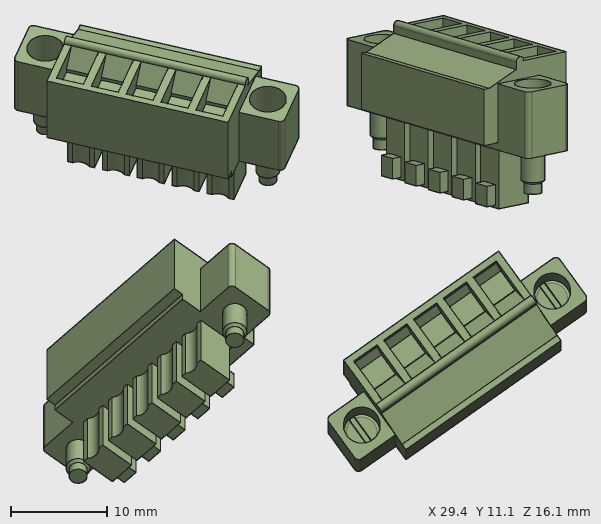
import cadquery as cq
import math


TOTAL_LENGTH = 29.45
BLOCK_LENGTH = 19.75
DEPTH = 11.1
DECK_Z = 9.0

STEP_Z = 0.8
FOOT_FRONT_Y = 1.15

RIB_RADIUS = 0.5
RIB_FRONT_Y = 5.75
RIB_BACK_Y = RIB_FRONT_Y + 2 * RIB_RADIUS
SLOPE_TOP_Z = 8.2
SLOPE_BOTTOM_Y = 10.42
SLOPE_BOTTOM_Z = 6.8

FLANGE_FRONT_Y = 3.62
FLANGE_BACK_Y = 9.25
FLANGE_HEIGHT = 7.1
FLANGE_CORNER_RADIUS = 0.53

WAY_COUNT = 5
WAY_PITCH = 3.8
WAY_WIDTH = 2.95
WAY_CENTERS = [(i - (WAY_COUNT - 1) / 2) * WAY_PITCH for i in range(WAY_COUNT)]

POCKET_FRONT_Y = 0.7
POCKET_FLOOR_FRONT_Y = 1.5
POCKET_FLOOR_BACK_Y = 4.05
POCKET_FLOOR_Z = 6.75
POCKET_CHAMFER = 1.05
POCKET_RISER = 0.4

PRONG_FRONT_Y = 4.42
PRONG_BACK_Y = 8.42
PRONG_LENGTH = 6.6
GROOVE_WIDTH = 1.83
GROOVE_DEPTH = 0.35
TAB_WIDTH = GROOVE_WIDTH
TAB_BACK_Y = 9.57
TAB_TOP_Z = -4.1
TAB_BOTTOM_Z = -6.3

SCREW_X = 12.13
SCREW_Y = 6.4
HEAD_DIAMETER = 3.8
HEAD_BOTTOM_Z = 1.0
HEAD_HEIGHT = 2.0
HEAD_FILLET = 0.32
SLOT_WIDTH = 0.62
SLOT_DEPTH = 0.6
SHANK_DIAMETER = 2.5
SHANK_END_Z = -3.18
TIP_DIAMETER = 1.88
TIP_START_Z = -3.45
TIP_END_Z = -4.53
SCREW_CENTERS = [(-SCREW_X, SCREW_Y), (SCREW_X, SCREW_Y)]


def extrude_along_x(profile, length, center_x=0.0):
    """Extrude a closed YZ profile by length, centred on center_x."""
    return profile.extrude(length / 2, both=True).translate((center_x, 0, 0))


def box_between(center_x, width, y_range, z_range):
    """Box centred on center_x that spans the given Y and Z ranges."""
    (y0, y1), (z0, z1) = y_range, z_range
    return (
        cq.Workplane("XY")
        .box(width, y1 - y0, z1 - z0, centered=(True, False, False))
        .translate((center_x, y0, z0))
    )


def make_block():
    """Main block with stepped underside, rounded rib and sloped back."""
    profile = (
        cq.Workplane("YZ")
        .moveTo(0, STEP_Z)
        .lineTo(0, DECK_Z)
        .lineTo(RIB_FRONT_Y, DECK_Z)
        .threePointArc((RIB_FRONT_Y + RIB_RADIUS, DECK_Z + RIB_RADIUS), (RIB_BACK_Y, DECK_Z))
        .lineTo(RIB_BACK_Y, SLOPE_TOP_Z)
        .lineTo(SLOPE_BOTTOM_Y, SLOPE_BOTTOM_Z)
        .lineTo(DEPTH, SLOPE_BOTTOM_Z)
        .lineTo(DEPTH, STEP_Z)
        .lineTo(FLANGE_BACK_Y, STEP_Z)
        .lineTo(FLANGE_BACK_Y, 0)
        .lineTo(FOOT_FRONT_Y, 0)
        .lineTo(FOOT_FRONT_Y, STEP_Z)
        .close()
    )
    return extrude_along_x(profile, BLOCK_LENGTH)


def make_flanges():
    """Bar through the block whose rounded ends form both flanges."""
    bar = box_between(0, TOTAL_LENGTH, (FLANGE_FRONT_Y, FLANGE_BACK_Y), (0, FLANGE_HEIGHT))
    return bar.edges("|Z").fillet(FLANGE_CORNER_RADIUS)


def make_pocket(center_x):
    """Cutter for one wire pocket, narrowing downward to its floor."""
    profile = (
        cq.Workplane("YZ")
        .moveTo(POCKET_FRONT_Y, DECK_Z)
        .lineTo(POCKET_FRONT_Y, POCKET_FLOOR_Z + POCKET_CHAMFER)
        .lineTo(POCKET_FLOOR_FRONT_Y, POCKET_FLOOR_Z)
        .lineTo(POCKET_FLOOR_BACK_Y, POCKET_FLOOR_Z)
        .lineTo(POCKET_FLOOR_BACK_Y, POCKET_FLOOR_Z + POCKET_RISER)
        .lineTo(RIB_FRONT_Y, DECK_Z)
        .close()
    )
    return extrude_along_x(profile, WAY_WIDTH, center_x)


def make_prong(center_x):
    """Prong with a round groove down its front and a tab at the lower back."""
    prong = box_between(center_x, WAY_WIDTH, (PRONG_FRONT_Y, PRONG_BACK_Y), (-PRONG_LENGTH, 0))
    groove = (
        cq.Workplane("XY", origin=(center_x, PRONG_FRONT_Y, -PRONG_LENGTH))
        .moveTo(-GROOVE_WIDTH / 2, 0)
        .threePointArc((0, GROOVE_DEPTH), (GROOVE_WIDTH / 2, 0))
        .close()
        .extrude(PRONG_LENGTH)
    )
    tab = box_between(center_x, TAB_WIDTH, (PRONG_BACK_Y, TAB_BACK_Y), (TAB_BOTTOM_Z, TAB_TOP_Z))
    return prong.cut(groove).union(tab)


def make_screw_holes():
    """Cutter for both counterbored screw holes."""
    shank_holes = (
        cq.Workplane("XY").pushPoints(SCREW_CENTERS).circle(SHANK_DIAMETER / 2).extrude(HEAD_BOTTOM_Z)
    )
    head_holes = (
        cq.Workplane("XY", origin=(0, 0, HEAD_BOTTOM_Z))
        .pushPoints(SCREW_CENTERS)
        .circle(HEAD_DIAMETER / 2)
        .extrude(FLANGE_HEIGHT - HEAD_BOTTOM_Z)
    )
    return shank_holes.union(head_holes)


def make_housing():
    housing = make_block().union(make_flanges())
    for center_x in WAY_CENTERS:
        housing = housing.cut(make_pocket(center_x)).union(make_prong(center_x))
    return housing.cut(make_screw_holes())


def make_screw(center):
    """Slotted screw: rounded head, shank and a reduced tip behind a short cone."""
    head_top_z = HEAD_BOTTOM_Z + HEAD_HEIGHT
    head_radius = HEAD_DIAMETER / 2
    bend = HEAD_FILLET * math.sqrt(0.5)
    profile = (
        cq.Workplane("XZ")
        .moveTo(0, head_top_z)
        .lineTo(head_radius - HEAD_FILLET, head_top_z)
        .threePointArc(
            (head_radius - HEAD_FILLET + bend, head_top_z - HEAD_FILLET + bend),
            (head_radius, head_top_z - HEAD_FILLET),
        )
        .lineTo(head_radius, HEAD_BOTTOM_Z)
        .lineTo(SHANK_DIAMETER / 2, HEAD_BOTTOM_Z)
        .lineTo(SHANK_DIAMETER / 2, SHANK_END_Z)
        .lineTo(TIP_DIAMETER / 2, TIP_START_Z)
        .lineTo(TIP_DIAMETER / 2, TIP_END_Z)
        .lineTo(0, TIP_END_Z)
        .close()
    )
    screw = profile.revolve(360, (0, 0, 0), (0, 1, 0))
    slot = box_between(0, SLOT_WIDTH, (-head_radius, head_radius), (head_top_z - SLOT_DEPTH, head_top_z))
    return screw.cut(slot).translate((*center, 0))


housing = make_housing()
screws = [make_screw(center) for center in SCREW_CENTERS]

result = cq.Compound.makeCompound([housing.val(), *[screw.val() for screw in screws]])